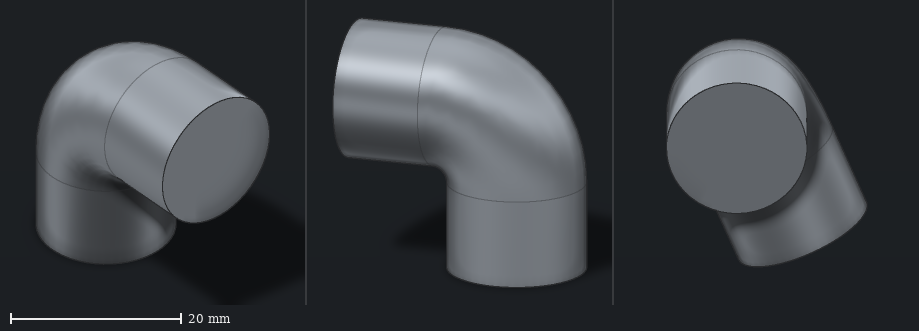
import cadquery as cq

overall_length = 28.25
rod_diameter = 16.5
leg_length = 10.5

rod_radius = rod_diameter / 2
bend_radius = overall_length - leg_length - rod_radius

vertical_leg = cq.Workplane("XY").circle(rod_radius).extrude(leg_length)

bend = (
    cq.Workplane("XY", origin=(0, 0, leg_length))
    .circle(rod_radius)
    .revolve(90, (bend_radius, 0), (bend_radius, 1))
)

horizontal_leg = (
    cq.Workplane("YZ", origin=(bend_radius, 0, leg_length + bend_radius))
    .circle(rod_radius)
    .extrude(leg_length)
)

result = vertical_leg.union(bend).union(horizontal_leg)